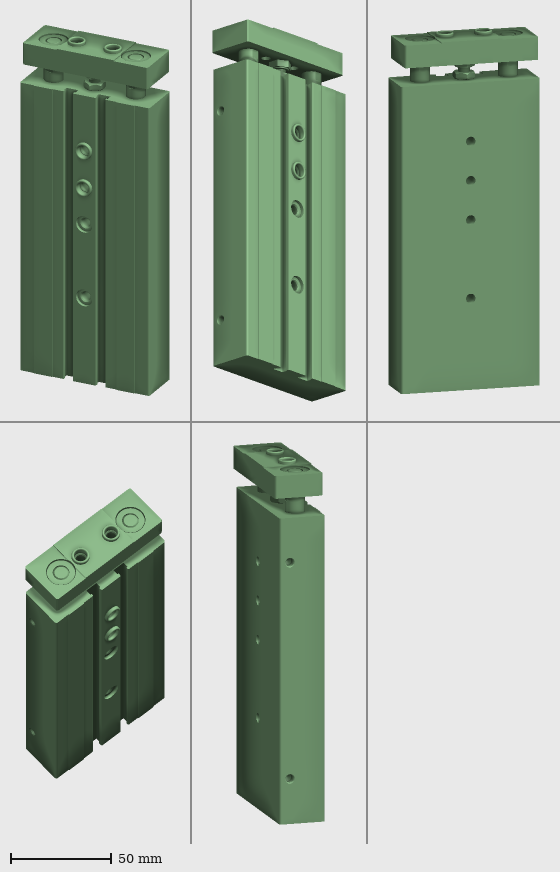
import cadquery as cq
import math


total_height = 180.4
housing_top = 156.5
plate_bottom = 166.5
sleeve_protrusion = 1.8
plate_top = total_height - sleeve_protrusion
end_step = 0.5
plate_end_top = plate_top - end_step

housing_width = 72.0
housing_back = 12.0
housing_front = -11.5
housing_edge_radius = 1.0
band_height = 0.4
band_front = housing_front - band_height
side_band_width = 10.0
center_band_width = 12.0

center_pad_width = 12.8
slot_mouth_width = 5.0
slot_depth = 4.5
slot_undercut = 0.7
slot_lip = 1.5
slot_edge_radius = 0.5

hole_pitch = 20.0
top_hole_z = 126.6
sleeved_hole_heights = [top_hole_z, top_hole_z - hole_pitch]
open_hole_heights = [top_hole_z - 2 * hole_pitch, top_hole_z - 4 * hole_pitch]
mount_bore = 4.9
mount_countersink = 6.0

side_hole_y = 6.7
side_hole_heights = [23.1, 133.7]
side_hole_bore = 4.1
side_hole_mouth = 4.9
side_hole_depth = 4.5
drill_half_angle = math.radians(59)

sleeve_outer = 9.0
sleeve_bore = 6.5
sleeve_length = 2 * sleeve_protrusion
sleeve_lip_radius = (sleeve_outer - sleeve_bore) / 4
plate_sleeve_spacing = hole_pitch

plate_width = 69.5
plate_depth = 24.9
plate_offset = 2.0
plate_back = housing_back + plate_offset
plate_front = plate_back - plate_depth
plate_back_radius = 1.0
plate_front_chamfer = 0.7
raised_width = 31.8

rod_diameter = 10.0
rod_spacing = 45.6
rod_x = rod_spacing / 2
rod_engagement = 36
flat_distance = 9.2
flat_height = 4.3
collar_diameter = 14.0
collar_thickness = 1.8
collar_recess_diameter = 15.0
collar_sink = 0.5
collar_top = plate_end_top - collar_sink
collar_bottom = collar_top - collar_thickness
rod_tip_diameter = 6.5
tip_groove_diameter = 8.3
tip_groove_depth = (tip_groove_diameter - rod_tip_diameter) / 2

stop_thread = 6.0
hex_flats = 10.0
hex_corners = hex_flats / math.cos(math.radians(30))
stop_nut_height = 3.5
stop_nut_face_diameter = 8.8
stop_nut_face_height = 0.5
stop_head_height = 3.5


def box(x_range, y_range, z_range):
    """Box between the given limits along each axis."""
    (x0, x1), (y0, y1), (z0, z1) = x_range, y_range, z_range
    return cq.Workplane("XY").box(x1 - x0, y1 - y0, z1 - z0, centered=False).translate((x0, y0, z0))


def cylinder(diameter, z0, z1, x=0):
    """Upright cylinder in the rod plane, from z0 to z1."""
    return cq.Workplane("XY", origin=(x, 0, z0)).circle(diameter / 2).extrude(z1 - z0)


def countersunk_pocket(pocket_depth, bore_length):
    """Cutter along -Z from z = 0: a sleeve pocket, then a bore with a chamfered mouth."""
    mouth_chamfer = (mount_countersink - mount_bore) / 2
    return (
        cq.Workplane("XZ")
        .lineTo(sleeve_outer / 2, 0)
        .lineTo(sleeve_outer / 2, -pocket_depth)
        .lineTo(mount_countersink / 2, -pocket_depth)
        .lineTo(mount_bore / 2, -pocket_depth - mouth_chamfer)
        .lineTo(mount_bore / 2, -bore_length)
        .lineTo(0, -bore_length)
        .close()
        .revolve(360, (0, 0, 0), (0, 1, 0))
    )


def facing_front(shape, z):
    """Turn a shape whose axis is +Z to face -Y, with its origin on the housing front."""
    return shape.rotate((0, 0, 0), (1, 0, 0), 90).translate((0, band_front, z))


def slot_cutter(side):
    """T-slot with a rounded outer edge, cut over the whole housing height; side is -1 or 1."""
    inner_x = center_pad_width / 2
    outer_x = inner_x + slot_mouth_width
    lip_y = housing_front + slot_lip
    floor_y = housing_front + slot_depth
    rounding_y = housing_front + slot_edge_radius
    rounding_x = outer_x + slot_edge_radius
    arc_middle_x = rounding_x - slot_edge_radius * math.cos(math.radians(45))
    arc_middle_y = rounding_y - slot_edge_radius * math.sin(math.radians(45))
    straight_points = [
        (inner_x, lip_y),
        (inner_x - slot_undercut, lip_y),
        (inner_x - slot_undercut, floor_y),
        (outer_x + slot_undercut, floor_y),
        (outer_x + slot_undercut, lip_y),
        (outer_x, lip_y),
        (outer_x, rounding_y),
    ]
    outline = cq.Workplane("XY").moveTo(side * inner_x, band_front)
    for x, y in straight_points:
        outline = outline.lineTo(side * x, y)
    outline = outline.threePointArc((side * arc_middle_x, arc_middle_y), (side * rounding_x, housing_front))
    return outline.lineTo(side * rounding_x, band_front).close().extrude(housing_top)


def side_hole_cutter(z):
    """Blind hole with a chamfered mouth and a drill-point end, entering from the -X side."""
    bore_radius = side_hole_bore / 2
    mouth_radius = side_hole_mouth / 2
    tip_depth = side_hole_depth + bore_radius / math.tan(drill_half_angle)
    return (
        cq.Workplane("XY", origin=(-housing_width / 2, side_hole_y, z))
        .lineTo(0, mouth_radius)
        .lineTo(mouth_radius - bore_radius, bore_radius)
        .lineTo(side_hole_depth, bore_radius)
        .lineTo(tip_depth, 0)
        .close()
        .revolve(360, (0, 0, 0), (1, 0, 0))
    )


def make_housing():
    """Extruded housing with front bands, T-slots, mounting holes, side holes and rod bores."""
    half_width = housing_width / 2
    body = box((-half_width, half_width), (housing_front, housing_back), (0, housing_top))
    body = body.edges("|Z").fillet(housing_edge_radius)
    for x, width in [(-rod_x, side_band_width), (0, center_band_width), (rod_x, side_band_width)]:
        x_range = (x - width / 2, x + width / 2)
        body = body.union(box(x_range, (band_front, housing_front), (0, housing_top)))
    for side in (-1, 1):
        body = body.cut(slot_cutter(side))
        body = body.cut(cylinder(rod_diameter, housing_top - rod_engagement, housing_top, side * rod_x))
    through_pocket = countersunk_pocket(sleeve_length - sleeve_protrusion, housing_back - band_front)
    for z in sleeved_hole_heights + open_hole_heights:
        body = body.cut(facing_front(through_pocket, z))
    for z in side_hole_heights:
        body = body.cut(side_hole_cutter(z))
    return body


def hexagon(z0, z1):
    """Hexagonal prism with two flats facing -X and +X."""
    prism = cq.Workplane("XY").polygon(6, hex_corners).extrude(z1 - z0)
    return prism.rotate((0, 0, 0), (0, 0, 1), 30).translate((0, 0, z0))


def make_stop():
    """Lock nut under the plate, threaded shank and chamfered hexagon head resting on the housing."""
    nut_bottom = plate_bottom - stop_nut_height
    face_bottom = nut_bottom - stop_nut_face_height
    head_top = housing_top + stop_head_height
    nut = hexagon(nut_bottom, plate_bottom)
    nut_face = cylinder(stop_nut_face_diameter, face_bottom, nut_bottom)
    shank = cylinder(stop_thread, head_top, face_bottom)
    corner_chamfer = (hex_corners - hex_flats) / 2
    head_envelope = cylinder(hex_corners, housing_top, head_top).edges().chamfer(corner_chamfer)
    head = hexagon(housing_top, head_top).intersect(head_envelope)
    return nut.union(nut_face).union(shank).union(head)


def make_plate():
    """Plate with a raised middle, sleeve holes, rod holes and the stop screw fixed below it."""
    half_width = plate_width / 2
    y_range = (plate_front, plate_back)
    body = box((-half_width, half_width), y_range, (plate_bottom, plate_end_top))
    body = body.edges("|Z and >Y").fillet(plate_back_radius)
    body = body.edges("|Z and <Y").chamfer(plate_front_chamfer)
    body = body.union(box((-raised_width / 2, raised_width / 2), y_range, (plate_end_top, plate_top)))

    sleeve_hole = countersunk_pocket(sleeve_length - sleeve_protrusion, plate_top - plate_bottom)
    for side in (-1, 1):
        body = body.cut(sleeve_hole.translate((side * plate_sleeve_spacing / 2, 0, plate_top)))
        body = body.cut(cylinder(rod_diameter, plate_bottom, plate_top, side * rod_x))
        body = body.cut(cylinder(collar_recess_diameter, collar_bottom, plate_top, side * rod_x))

    return body.union(make_stop())


def make_rod(x):
    """Guide rod with wrench flats under the plate and a grooved collar on top, leaving a chamfered tip in its center."""
    rod = cylinder(rod_diameter, housing_top - rod_engagement, collar_bottom)
    for side in (-1, 1):
        flat_y = sorted([side * flat_distance / 2, side * rod_diameter / 2])
        flat_cut = box((-rod_diameter, rod_diameter), flat_y, (plate_bottom - flat_height, plate_bottom))
        rod = rod.cut(flat_cut)
    collar = cylinder(collar_diameter, collar_bottom, collar_top)
    tip_groove = (
        cq.Workplane("XZ", origin=(0, 0, collar_top))
        .moveTo(rod_tip_diameter / 2, 0)
        .lineTo(tip_groove_diameter / 2, 0)
        .lineTo(tip_groove_diameter / 2, -tip_groove_depth)
        .close()
        .revolve(360, (0, 0, 0), (0, 1, 0))
    )
    return rod.union(collar).cut(tip_groove).translate((x, 0, 0))


def make_sleeve():
    """Centering sleeve along Z, seated below z = 0 and with a fully rounded exposed lip."""
    seat = sleeve_protrusion - sleeve_length
    lip_start = sleeve_protrusion - sleeve_lip_radius
    middle_radius = (sleeve_outer + sleeve_bore) / 4
    return (
        cq.Workplane("XZ")
        .moveTo(sleeve_bore / 2, seat)
        .lineTo(sleeve_outer / 2, seat)
        .lineTo(sleeve_outer / 2, lip_start)
        .threePointArc((middle_radius, sleeve_protrusion), (sleeve_bore / 2, lip_start))
        .close()
        .revolve(360, (0, 0, 0), (0, 1, 0))
    )


housing = make_housing()
plate = make_plate()
rods = [make_rod(side * rod_x) for side in (-1, 1)]
front_sleeves = [facing_front(make_sleeve(), z) for z in sleeved_hole_heights]
plate_sleeves = [
    make_sleeve().translate((side * plate_sleeve_spacing / 2, 0, plate_top)) for side in (-1, 1)
]

bodies = [housing, plate] + rods + front_sleeves + plate_sleeves
result = cq.Compound.makeCompound([body.val() for body in bodies])